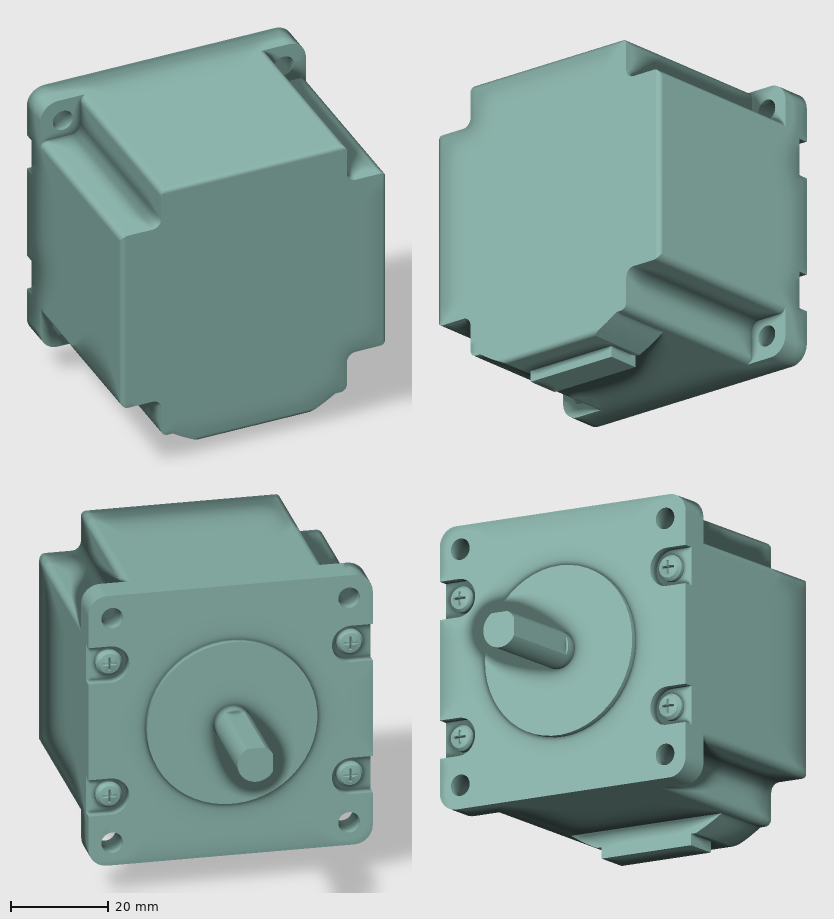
import cadquery as cq


motor_length = 71.0
flat_end_x = 20.0
pilot_face_x = 22.6
flange_face_x = 24.15
flange_back_x = 30.95
rear_cap_x = 56.15
tab_end_x = 63.75

shaft_radius = 4.0
flat_distance = 3.5
pilot_radius = 17.95

flange_size = 60.0
half_flange = flange_size / 2
flange_corner_radius = 4.0
mount_spacing = 50.0
mount_hole_diameter = 4.55

arm_half_width = 21.0
arm_edge_radius = 1.5
inner_corner_radius = 2.0
rear_edge_radius = 1.0

outlet_drop = 3.4
outlet_top_half_width = 18.4
outlet_bottom_half_width = 12.1
outlet_bulge_half_width = 15.05
outlet_bulge_drop = 2.0
tab_drop = 5.8
tab_width = 21.8

screw_y = 25.4
screw_z = 14.7
recess_radius = 4.05
recess_depth = 2.35
head_radius = 2.8
head_rim_height = 1.1
head_crown_radius = 2.2
head_crown_height = 1.85
head_height = recess_depth
cross_length = 3.1
cross_width = 0.65
cross_depth = 1.1
cross_taper = 12.0


def section(x):
    """Workplane across the motor axis, facing +X: local x is Y, local y is Z."""
    return cq.Workplane("YZ", origin=(x, 0, 0))


def block(x_start, x_end, y_size, z_size):
    """Box centred on the motor axis."""
    return section(x_start).rect(y_size, z_size).extrude(x_end - x_start)


def make_shaft():
    shaft = section(0).circle(shaft_radius).extrude(flange_face_x)
    cutter_size = 4 * shaft_radius
    cutter_offset = flat_distance + cutter_size / 2
    cutter = block(0, flat_end_x, cutter_size, cutter_size)
    shaft = shaft.cut(cutter.translate((0, 0, cutter_offset)))
    return shaft.cut(cutter.translate((0, -cutter_offset, 0)))


def make_flange():
    flange = block(flange_face_x, flange_back_x, flange_size, flange_size)
    flange = flange.edges("|X").fillet(flange_corner_radius)
    holes = (
        section(flange_face_x)
        .rect(mount_spacing, mount_spacing, forConstruction=True)
        .vertices()
        .circle(mount_hole_diameter / 2)
        .extrude(flange_back_x - flange_face_x)
    )
    return flange.cut(holes)


def make_body():
    arm_width = 2 * arm_half_width
    wide = block(flange_back_x, motor_length, flange_size, arm_width).edges("|X").fillet(arm_edge_radius)
    tall = block(flange_back_x, motor_length, arm_width, flange_size).edges("|X").fillet(arm_edge_radius)
    body = wide.union(tall)
    reach = (arm_half_width + half_flange) / 2
    inner_corners = cq.selectors.BoxSelector((flange_back_x, -reach, -reach), (motor_length, reach, reach))
    body = body.edges("|X").edges(inner_corners).fillet(inner_corner_radius)
    envelope = block(flange_back_x, motor_length, flange_size, flange_size)
    return body.intersect(envelope.faces(">X").edges("not <Z").fillet(rear_edge_radius))


def make_outlet():
    top = -arm_half_width
    shoulder = -half_flange
    bulge = shoulder - outlet_bulge_drop
    bottom = shoulder - outlet_drop
    outlet = (
        section(rear_cap_x)
        .moveTo(-outlet_top_half_width, top)
        .lineTo(-outlet_top_half_width, shoulder)
        .threePointArc((-outlet_bulge_half_width, bulge), (-outlet_bottom_half_width, bottom))
        .lineTo(outlet_bottom_half_width, bottom)
        .threePointArc((outlet_bulge_half_width, bulge), (outlet_top_half_width, shoulder))
        .lineTo(outlet_top_half_width, top)
        .close()
        .extrude(motor_length - rear_cap_x)
        .faces(">X")
        .edges("<Z")
        .fillet(rear_edge_radius)
    )
    tab = block(rear_cap_x, tab_end_x, tab_width, tab_drop)
    return outlet.union(tab.translate((0, 0, shoulder - tab_drop / 2)))


def make_recess(side, z):
    """Slot open to the flange side (side = +1 or -1 along Y), round at its inner end."""
    round_end = section(flange_face_x).center(side * screw_y, z).circle(recess_radius).extrude(recess_depth)
    open_length = half_flange - screw_y
    open_end = block(flange_face_x, flange_face_x + recess_depth, open_length, 2 * recess_radius)
    return round_end.union(open_end.translate((0, side * (screw_y + open_length / 2), z)))


def make_screw_head(side, z):
    """Domed head on the recess floor with a cross-shaped driver recess."""
    floor_x = flange_face_x + recess_depth
    head = (
        cq.Workplane("XY")
        .moveTo(0, 0)
        .lineTo(0, head_radius)
        .lineTo(-head_rim_height, head_radius)
        .lineTo(-head_crown_height, head_crown_radius)
        .lineTo(-head_height, 0)
        .close()
        .revolve(360, (0, 0, 0), (1, 0, 0))
    )
    for y_size, z_size in ((cross_length, cross_width), (cross_width, cross_length)):
        head = head.cut(section(-head_height).rect(y_size, z_size).extrude(cross_depth, taper=cross_taper))
    return head.translate((floor_x, side * screw_y, z))


pilot = section(pilot_face_x).circle(pilot_radius).extrude(flange_face_x - pilot_face_x)
result = make_flange().union(make_body()).union(make_outlet()).union(pilot).union(make_shaft())
for side in (-1, 1):
    for z in (-screw_z, screw_z):
        result = result.cut(make_recess(side, z)).union(make_screw_head(side, z))